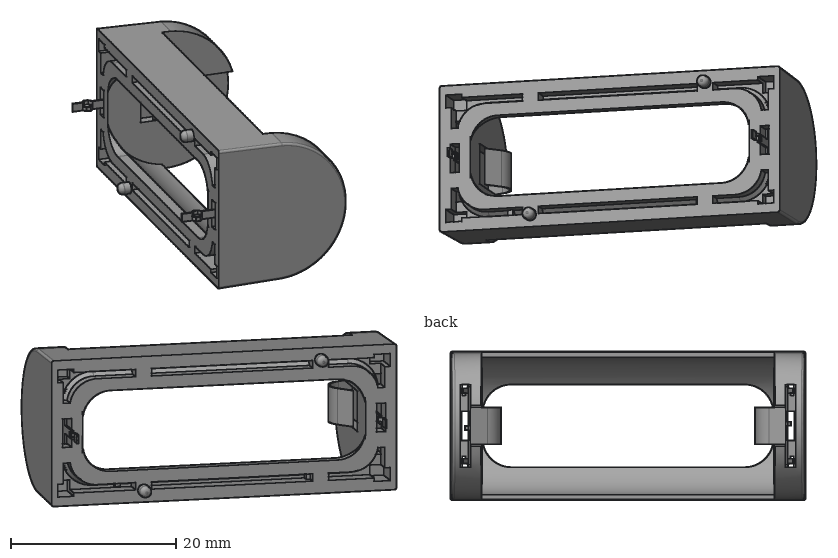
import cadquery as cq
import math


half_length = 21.5
width = 18.0
half_width = width / 2
end_height = 16.55
arm_height = 7.05
arc_start_height = 8.15
arc_start_half_width = 8.85
end_face_lean = 0.25
cheek_inner_x = 17.65
cheek_inner_lean = 0.17
rim_radius = 0.3

cradle_radius = 8.4
cradle_center_height = 8.13
window_half_length = 17.6
window_half_width = 5.0
window_corner_radius = 3.45

slot_depth = 2.15
slot_outer_half_length = 20.05
slot_outer_half_width = 7.45
island_half_length = 19.2
island_half_width = 6.55
island_corner_radius = 3.35
island_flare = 0.5
slot_end_half_width = 3.7
peg_x = (-10.0, 12.05)
bridge_width = 1.98
slot_rib_height = 0.85
slot_rib_outer_z = -7.2
slot_rib_x_start = -13.25
slot_rib_x_end = -12.6
end_rib_length = 0.5

pocket_inner_x = 18.7
pocket_length = 2.0
pocket_center_x = pocket_inner_x + pocket_length / 2
pocket_center_z = 7.05
pocket_width = 1.6
pocket_depth = 3.45

peg_z = 7.52
peg_radius = 0.75
peg_length = 1.45
peg_tip_radius = 0.6

cavity_inner_x = 19.0
cavity_outer_x = 20.3
cavity_half_width = 5.0
pin_hole_outer_x = 20.12
pin_hole_half_width = 1.75
leaf_opening_height = 4.3
leaf_opening_half_width = 2.5

sheet = 0.2
plate_gap = 0.1
plate_x = cavity_inner_x + plate_gap + sheet / 2
plate_half_width = 4.75
pin_half_width = 0.5
pin_tip = -3.95
bow_top = -1.38
bow_bottom = -2.65
bow_offset = 0.45
bow_slope_height = 0.4
leaf_half_width = 2.25
leaf_radius = 2.7
leaf_center_x = 18.05
leaf_center_height = 9.4
leaf_top_angle = 67.0
leaf_bottom_angle = -40.0
leaf_end_x = 17.55
tongue_root_height = 3.45
tongue_tip_height = 5.6
tongue_tip_x = 20.05
tongue_inner_z = 3.95
tongue_outer_z = 4.55


def block(x_start, x_end, y_start, y_end, z_start, z_end):
    size = (x_end - x_start, y_end - y_start, z_end - z_start)
    return cq.Workplane("XY").box(*size, centered=False).translate((x_start, y_start, z_start))


def rounded_block(half_x, half_z, radius, height):
    """Block standing on the mounting face, with its four upright edges rounded."""
    return block(-half_x, half_x, 0, height, -half_z, half_z).edges("|Y").fillet(radius)


def drafted_prism(base_half_length, lean):
    """Full-width prism whose end faces shift outwards by `lean` over the end height."""
    return (
        cq.Workplane("XY")
        .polyline([
            (-base_half_length, 0),
            (base_half_length, 0),
            (base_half_length + lean, end_height),
            (-base_half_length - lean, end_height),
        ])
        .close()
        .extrude(half_width, both=True)
    )


def housing_shell():
    """Drafted outer shape with round-topped ends and filleted end rims."""
    plan = drafted_prism(half_length, -end_face_lean)
    section = (
        cq.Workplane("YZ")
        .moveTo(0, -half_width)
        .lineTo(arc_start_height, -arc_start_half_width)
        .threePointArc((end_height, 0), (arc_start_height, arc_start_half_width))
        .lineTo(0, half_width)
        .close()
        .extrude(half_length, both=True)
    )
    shell = plan.intersect(section)
    mounting_edges = cq.selectors.BoxSelector(
        (-2 * half_length, -rim_radius, -2 * half_width),
        (2 * half_length, rim_radius, 2 * half_width),
    )
    for side in ("<X", ">X"):
        rim = shell.faces(side).edges(cq.selectors.InverseSelector(mounting_edges))
        shell = rim.fillet(rim_radius)
    return shell


def battery_space():
    """Gap between the cheeks, round cradle and the window in its floor."""
    above_arms = block(-half_length, half_length, arm_height, end_height, -half_width, half_width)
    cradle = (
        cq.Workplane("YZ")
        .center(cradle_center_height, 0)
        .circle(cradle_radius)
        .extrude(half_length, both=True)
    )
    between_cheeks = drafted_prism(cheek_inner_x, cheek_inner_lean).intersect(cradle.union(above_arms))
    window = rounded_block(window_half_length, window_half_width, window_corner_radius, arm_height)
    return between_cheeks.union(window)


def slot_island():
    """Upright rounded island that widens at 45 degrees to meet the slot floor."""
    upright = rounded_block(island_half_length, island_half_width, island_corner_radius, slot_depth)
    floor_half_length = island_half_length + island_flare
    floor_half_width = island_half_width + island_flare
    foot = rounded_block(
        floor_half_length, floor_half_width, island_corner_radius + island_flare, slot_depth,
    ).faces("<Y").edges().chamfer(island_flare)
    foot = foot.intersect(block(
        -half_length, half_length, 0, island_flare, -half_width, half_width,
    ))
    return upright.union(foot.translate((0, slot_depth - island_flare, 0)))


def coring_slots():
    """Ring of slots around the island, with bridges and small ribs left standing."""
    slots = block(
        -slot_outer_half_length, slot_outer_half_length, 0, slot_depth,
        -slot_outer_half_width, slot_outer_half_width,
    )
    slots = slots.cut(slot_island())
    slots = slots.cut(block(
        -half_length, half_length, 0, slot_depth, -slot_end_half_width, slot_end_half_width,
    ))
    for x in peg_x:
        slots = slots.cut(block(
            x - bridge_width / 2, x + bridge_width / 2, 0, slot_depth, -half_width, half_width,
        ))
    rib_start = slot_depth - slot_rib_height
    slots = slots.cut(block(
        slot_rib_x_start, slot_rib_x_end, rib_start, slot_depth, slot_rib_outer_z, -island_half_width,
    ))
    bridge_edge = peg_x[1] - bridge_width / 2
    return slots.cut(block(
        bridge_edge - end_rib_length, bridge_edge, rib_start, slot_depth,
        -slot_outer_half_width, -island_half_width,
    ))


def corner_pockets():
    return (
        cq.Workplane("XZ")
        .rect(2 * pocket_center_x, 2 * pocket_center_z, forConstruction=True)
        .vertices()
        .rect(pocket_length, pocket_width)
        .extrude(-pocket_depth)
    )


def contact_cavity():
    """Space for the contact in the -X cheek, open at the top and through to the battery."""
    cavity = block(
        -cavity_outer_x, -cavity_inner_x, slot_depth, end_height, -cavity_half_width, cavity_half_width,
    )
    pin_hole = block(
        -pin_hole_outer_x, -cavity_inner_x, 0, slot_depth, -pin_hole_half_width, pin_hole_half_width,
    )
    leaf_opening = block(
        -cavity_inner_x, -window_half_length, leaf_opening_height, end_height,
        -leaf_opening_half_width, leaf_opening_half_width,
    )
    return cavity.union(pin_hole).union(leaf_opening)


def peg():
    """Round-tipped locating peg on the mounting face."""
    pin = cq.Workplane("XZ").circle(peg_radius).extrude(peg_length)
    return pin.faces("<Y").edges().fillet(peg_tip_radius)


def half_turn(body):
    """Copy of a body turned to the opposite end of the holder."""
    return body.rotate((0, 0, 0), (0, 1, 0), 180)


def make_housing():
    housing = housing_shell().cut(battery_space()).cut(coring_slots()).cut(corner_pockets())
    cavity = contact_cavity()
    housing = housing.cut(cavity).cut(half_turn(cavity))
    for x, z in zip(peg_x, (-peg_z, peg_z)):
        housing = housing.union(peg().translate((x, 0, z)))
    return housing


def sheet_strip(path, z_start, z_end):
    """Strip of sheet following a path of (x, y) points, one sheet thick along X."""
    near_side = [(x + sheet / 2, y) for x, y in path]
    far_side = [(x - sheet / 2, y) for x, y in reversed(path)]
    profile = cq.Workplane("XY").polyline(near_side + far_side).close()
    return profile.extrude(z_end - z_start).translate((0, 0, z_start))


def pin_half(bow, z_start, z_end):
    """Half of the split pin, bowed sideways by `bow`."""
    path = [
        (-plate_x, slot_depth),
        (-plate_x, bow_top),
        (-plate_x + bow, bow_top - bow_slope_height),
        (-plate_x + bow, bow_bottom + bow_slope_height),
        (-plate_x, bow_bottom),
        (-plate_x, pin_tip),
    ]
    return sheet_strip(path, z_start, z_end)


def leaf_bend_point(radius, angle):
    turn = math.radians(angle)
    return (-leaf_center_x + radius * math.cos(turn), leaf_center_height + radius * math.sin(turn))


def leaf_straight_end(radius, angle, x):
    """Point at `x` on the straight that leaves the bend tangentially at `angle`."""
    bend_x, bend_y = leaf_bend_point(radius, angle)
    return (x, bend_y - (x - bend_x) / math.tan(math.radians(angle)))


def spring_leaf():
    """Bent leaf: sloping straight from the plate top, round bend, straight free end."""
    outer = leaf_radius
    inner = leaf_radius - sheet
    return (
        cq.Workplane("XY")
        .moveTo(*leaf_straight_end(outer, leaf_top_angle, -plate_x))
        .lineTo(*leaf_bend_point(outer, leaf_top_angle))
        .threePointArc(leaf_bend_point(outer, 0), leaf_bend_point(outer, leaf_bottom_angle))
        .lineTo(*leaf_straight_end(outer, leaf_bottom_angle, -leaf_end_x))
        .lineTo(*leaf_straight_end(inner, leaf_bottom_angle, -leaf_end_x))
        .lineTo(*leaf_bend_point(inner, leaf_bottom_angle))
        .threePointArc(leaf_bend_point(inner, 0), leaf_bend_point(inner, leaf_top_angle))
        .lineTo(*leaf_straight_end(inner, leaf_top_angle, -plate_x))
        .close()
        .extrude(leaf_half_width, both=True)
    )


def make_contact():
    """Sheet contact of the -X end: plate, spring leaf, split pin and two retaining tongues."""
    plate_top = leaf_straight_end(leaf_radius, leaf_top_angle, -plate_x)[1]
    contact = sheet_strip(
        [(-plate_x, slot_depth), (-plate_x, plate_top)], -plate_half_width, plate_half_width,
    )
    contact = contact.union(spring_leaf())
    contact = contact.union(pin_half(-bow_offset, 0, pin_half_width))
    contact = contact.union(pin_half(bow_offset, -pin_half_width, 0))
    tongue_path = [(-plate_x, tongue_root_height), (-tongue_tip_x, tongue_tip_height)]
    for z_start, z_end in ((tongue_inner_z, tongue_outer_z), (-tongue_outer_z, -tongue_inner_z)):
        contact = contact.union(sheet_strip(tongue_path, z_start, z_end))
    return contact


housing = make_housing()
contact = make_contact()
contacts = [contact, half_turn(contact)]

result = cq.Compound.makeCompound([housing.val(), *[body.val() for body in contacts]])